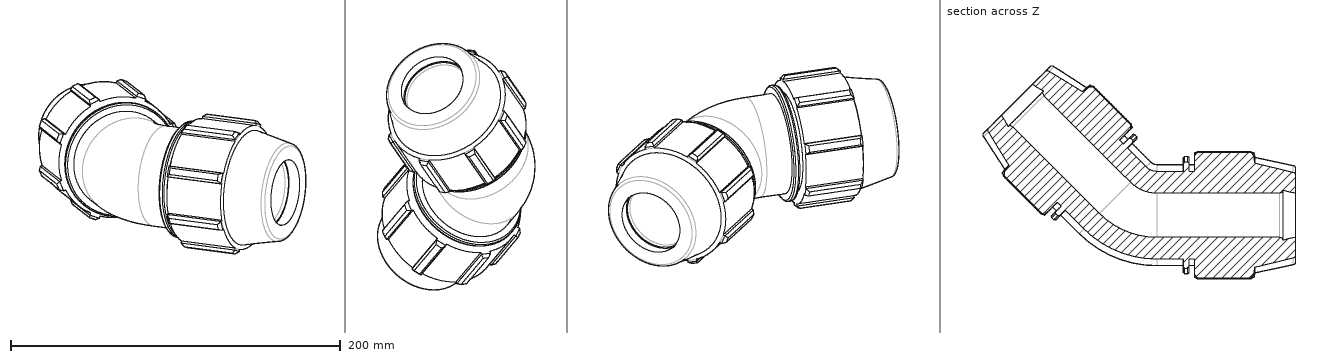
import cadquery as cq
import math


bend_angle = 45
bend_radius = 35.8
body_radius = 61.5 / 2
leg_length = 84.2

collar_radius = 71.3 / 2
collar_start = 16.0
collar_end = 19.5
collar_chamfer = 1.0
collar_edge_relief = 0.4

nut_start = 22.8
nut_end = 59.5
nut_radius = 38.0
nut_end_bevel = 0.5
cone_base_radius = 35.0
cone_tip_radius = 30.2
tip_rounding = 1.7

rib_count = 8
rib_top_radius = 41.0
rib_shoulder_radius = 39.0
rib_root_radius = 36.0
rib_base_width = 6.6
rib_top_width = 4.0
rib_end_chamfer = 1.9

bore_radius = 40.0 / 2
flare_radius = 21.2
flare_depth = 7.8
step_radius = 20.5
lead_in_depth = 9.9


def make_leg_body():
    """Solid of revolution: pipe, collar, nut and tapered nut tip."""
    arc_drop = tip_rounding * (1 - math.sqrt(0.5))
    return (
        cq.Workplane("XY")
        .moveTo(0, 0)
        .lineTo(0, body_radius)
        .lineTo(collar_start, body_radius)
        .lineTo(collar_start, collar_radius - collar_chamfer)
        .lineTo(collar_start + collar_chamfer, collar_radius)
        .lineTo(collar_end - collar_chamfer, collar_radius)
        .lineTo(collar_end, collar_radius - collar_edge_relief)
        .lineTo(collar_end, body_radius)
        .lineTo(nut_start, body_radius)
        .lineTo(nut_start, nut_radius)
        .lineTo(nut_end - nut_end_bevel, nut_radius)
        .lineTo(nut_end, cone_base_radius)
        .lineTo(leg_length - tip_rounding, cone_tip_radius)
        .threePointArc(
            (leg_length - arc_drop, cone_tip_radius - arc_drop),
            (leg_length, cone_tip_radius - tip_rounding),
        )
        .lineTo(leg_length, 0)
        .close()
        .revolve(360, (0, 0, 0), (1, 0, 0))
    )


def make_rib():
    """One rib pointing along +Y, with its top chamfered on all four edges."""
    rib_end = nut_end - nut_end_bevel
    side_profile = (
        cq.Workplane("XY")
        .polyline([
            (nut_start, rib_root_radius),
            (nut_start, rib_shoulder_radius),
            (nut_start + rib_end_chamfer, rib_top_radius),
            (rib_end - rib_end_chamfer, rib_top_radius),
            (rib_end, rib_shoulder_radius),
            (rib_end, rib_root_radius),
        ])
        .close()
        .extrude(rib_base_width / 2, both=True)
    )
    cross_section = (
        cq.Workplane("YZ")
        .polyline([
            (rib_root_radius, -rib_base_width / 2),
            (rib_shoulder_radius, -rib_base_width / 2),
            (rib_top_radius, -rib_top_width / 2),
            (rib_top_radius, rib_top_width / 2),
            (rib_shoulder_radius, rib_base_width / 2),
            (rib_root_radius, rib_base_width / 2),
        ])
        .close()
        .extrude(leg_length)
    )
    return side_profile.intersect(cross_section)


def make_leg_bore():
    """Bore of one leg, opening into a mouth that is widest just inside the nut."""
    return (
        cq.Workplane("XY")
        .polyline([
            (0, 0),
            (0, bore_radius),
            (leg_length - lead_in_depth, bore_radius),
            (leg_length - flare_depth, step_radius),
            (leg_length - flare_depth, flare_radius),
            (leg_length, bore_radius),
            (leg_length, 0),
        ])
        .close()
        .revolve(360, (0, 0, 0), (1, 0, 0))
    )


def make_leg():
    """Hollow leg with ribs straddling the leg's Y and Z planes."""
    leg = make_leg_body()
    rib = make_rib()
    rib_pitch = 360 / rib_count
    for index in range(rib_count):
        leg = leg.union(rib.rotate((0, 0, 0), (1, 0, 0), (index + 0.5) * rib_pitch))
    return leg.cut(make_leg_bore())


def make_bend():
    """Hollow bend that starts at the origin and runs towards -X, turning towards +Y."""
    return (
        cq.Workplane("YZ")
        .circle(body_radius)
        .circle(bore_radius)
        .revolve(bend_angle, (bend_radius, 1.9, 0), (bend_radius, -1.9, 0))
    )


def place_second_leg(leg):
    """Turn a leg to point away from the far end of the bend."""
    turn = math.radians(bend_angle)
    far_end = (-bend_radius * math.sin(turn), bend_radius * (1 - math.cos(turn)), 0)
    return leg.rotate((0, 0, 0), (0, 0, 1), 180 - bend_angle).translate(far_end)


straight_leg = make_leg()
result = straight_leg.union(make_bend()).union(place_second_leg(straight_leg))